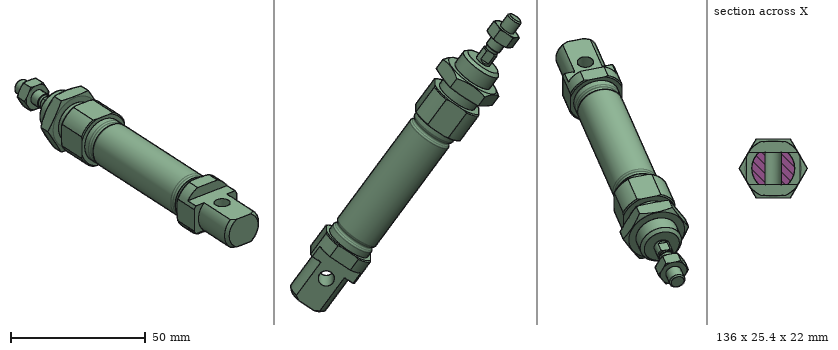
import cadquery as cq
import math

total_length = 136.0

rod_diameter = 6.0
neck_diameter = 5.2
rod_tip_chamfer = 0.5
thread_end = 14.4
neck_end = 15.6
wrench_flat_end = 20.0
wrench_flat_size = 4.9
lock_nut_start = 5.5
lock_nut_width = 4.9
lock_nut_size = 10.0
lock_nut_bevel_diameter = 10.3
lock_nut_bevel = 0.25

nose_start = 21.1
nose_diameter = 16.0
nose_chamfer = 1.2
mount_nut_start = 27.9
mount_nut_end = 33.6
mount_nut_size = 22.0
mount_nut_front_diameter = 21.6
mount_nut_front_bevel = 1.1
mount_nut_rear_diameter = 21.0
mount_nut_rear_bevel = 0.34

cap_diameter = 22.0
cap_size = 20.0
cap_bevel_diameter = 21.0
cap_bevel = 0.34
front_cap_start = 38.0
front_cap_end = 50.6
rear_cap_start = 108.4
rear_cap_end = 118.9

barrel_diameter = 17.5
front_groove = 54.4
rear_groove = 104.5
groove_half_width = 1.5
groove_depth = 0.8
groove_bottom_share = 0.46

tongue_start = 114.0
tongue_thickness = 12.0
tongue_chamfer = 1.2
pivot_hole_center = 123.0
pivot_hole_diameter = 6.0


axis_start = (0, 0, 0)
axis_end = (1, 0, 0)
full_turn = 360

square_end = (0, 0)


def bar(start, end, diameter):
    """Round bar along X."""
    return cq.Workplane("YZ", origin=(start, 0, 0)).circle(diameter / 2).extrude(end - start)


def bevelled_envelope(start, end, diameter, front=square_end, rear=square_end):
    """Round bar along X whose ends taper to (end diameter, taper length)."""
    radius = diameter / 2
    front_diameter, front_length = front
    rear_diameter, rear_length = rear
    points = [(start, 0)]
    if front_length:
        points.append((start, front_diameter / 2))
    points.append((start + front_length, radius))
    points.append((end - rear_length, radius))
    if rear_length:
        points.append((end, rear_diameter / 2))
    points.append((end, 0))
    return cq.Workplane("XY").polyline(points).close().revolve(full_turn, axis_start, axis_end)


def hex_nut(start, end, size, front, rear):
    """Hexagon nut with flats facing +Z and -Z and tapered corners at both ends."""
    corner_diameter = size / math.cos(math.pi / 6)
    section = cq.Workplane("YZ", origin=(start, 0, 0)).polygon(6, corner_diameter)
    hexagon = section.extrude(end - start)
    return hexagon.intersect(bevelled_envelope(start, end, corner_diameter, front, rear))


def end_cap(start, end, rear=square_end):
    """Round cap with four flats, tapered at its front corners."""
    square = cq.Workplane("YZ", origin=(start, 0, 0)).rect(cap_size, cap_size).extrude(end - start)
    front = (cap_bevel_diameter, cap_bevel)
    return square.intersect(bevelled_envelope(start, end, cap_diameter, front, rear))


def make_rod():
    """Threaded rod with neck, two wrench flats and lock nut; it ends on the nose face."""
    rod_radius = rod_diameter / 2
    neck_radius = neck_diameter / 2
    profile = [
        (0, 0),
        (0, rod_radius - rod_tip_chamfer),
        (rod_tip_chamfer, rod_radius),
        (thread_end, rod_radius),
        (thread_end, neck_radius),
        (neck_end, neck_radius),
        (neck_end + rod_radius - neck_radius, rod_radius),
        (nose_start, rod_radius),
        (nose_start, 0),
    ]
    rod = cq.Workplane("XY").polyline(profile).close().revolve(full_turn, axis_start, axis_end)

    flat_height = wrench_flat_size / 2
    runout = rod_radius - flat_height
    for side in (1, -1):
        waste = (
            cq.Workplane("XZ")
            .polyline([
                (neck_end, side * flat_height),
                (wrench_flat_end, side * flat_height),
                (wrench_flat_end + runout, side * rod_radius),
                (neck_end, side * rod_radius),
            ])
            .close()
            .extrude(rod_radius, both=True)
        )
        rod = rod.cut(waste)

    bevel = (lock_nut_bevel_diameter, lock_nut_bevel)
    nut = hex_nut(lock_nut_start, lock_nut_start + lock_nut_width, lock_nut_size, bevel, bevel)
    return rod.union(nut)


def groove_waste(center):
    """Ring that rolls one groove: a hollow arc between two tangent rounded lips."""
    radius = barrel_diameter / 2
    slope = 2 * math.atan2(groove_depth, groove_half_width)
    radius_sum = groove_half_width / math.sin(slope)
    bottom_radius = groove_bottom_share * radius_sum
    lip_radius = radius_sum - bottom_radius
    bottom = radius - groove_depth

    def lip_middle(side):
        return (
            center + side * (groove_half_width - lip_radius * math.sin(slope / 2)),
            radius - lip_radius * (1 - math.cos(slope / 2)),
        )

    def blend(side):
        return (
            center + side * bottom_radius * math.sin(slope),
            bottom + bottom_radius * (1 - math.cos(slope)),
        )

    return (
        cq.Workplane("XY")
        .moveTo(center - groove_half_width, radius)
        .threePointArc(lip_middle(-1), blend(-1))
        .threePointArc((center, bottom), blend(1))
        .threePointArc(lip_middle(1), (center + groove_half_width, radius))
        .close()
        .revolve(full_turn, axis_start, axis_end)
    )


def make_housing():
    """Nose, mounting nut, front cap, grooved barrel, rear cap and clevis tongue in one piece."""
    nose_face = (nose_diameter - 2 * nose_chamfer, nose_chamfer)
    nose = bevelled_envelope(nose_start, front_cap_start, nose_diameter, front=nose_face)
    nut = hex_nut(
        mount_nut_start,
        mount_nut_end,
        mount_nut_size,
        (mount_nut_front_diameter, mount_nut_front_bevel),
        (mount_nut_rear_diameter, mount_nut_rear_bevel),
    )
    front_cap = end_cap(front_cap_start, front_cap_end, rear=(cap_bevel_diameter, cap_bevel))

    barrel = bar(front_cap_end, rear_cap_start, barrel_diameter)
    for center in (front_groove, rear_groove):
        barrel = barrel.cut(groove_waste(center))

    rear_cap = end_cap(rear_cap_start, rear_cap_end)
    tongue_tip = (nose_diameter - 2 * tongue_chamfer, tongue_chamfer)
    tongue = bevelled_envelope(rear_cap_end, total_length, nose_diameter, rear=tongue_tip)
    slab = cq.Workplane("XY", origin=(tongue_start, 0, 0)).box(
        total_length - tongue_start, cap_diameter, tongue_thickness, centered=(False, True, True)
    )
    rear = rear_cap.union(tongue)
    rear = rear.intersect(bar(rear_cap_start, tongue_start, cap_diameter).union(slab))
    pivot_hole = (
        cq.Workplane("XY", origin=(pivot_hole_center, 0, 0))
        .circle(pivot_hole_diameter / 2)
        .extrude(tongue_thickness, both=True)
    )
    rear = rear.cut(pivot_hole)

    return nose.union(nut).union(front_cap).union(barrel).union(rear)


rod = make_rod()
housing = make_housing()

result = cq.Compound.makeCompound([rod.val(), housing.val()])